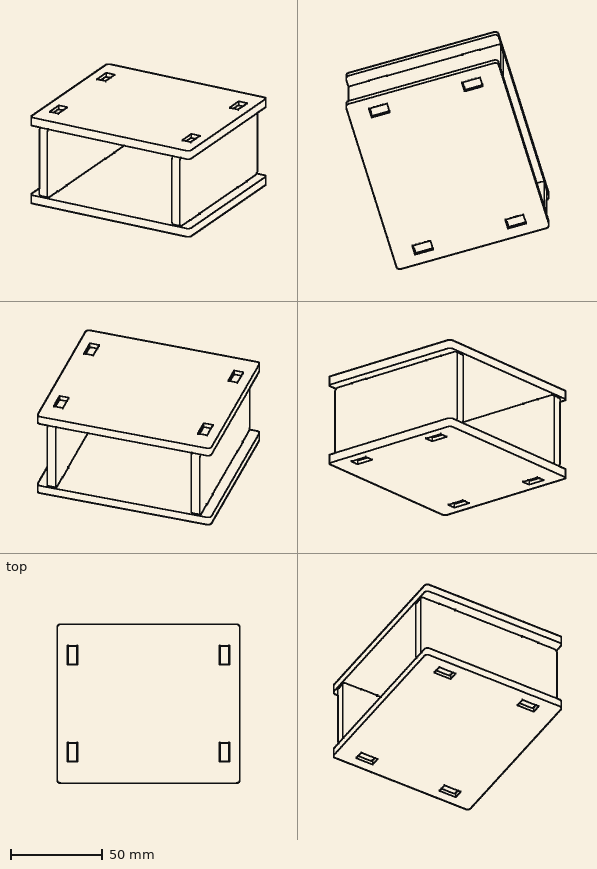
import cadquery as cq

length = 100.0
depth = 87.0
height = 51.0

panel_height = 41.1
sheet = (height - panel_height) / 2
corner_radius = 2.0

panel_spacing = 83.0
tab_spacing = 53.0
tab_width = 10.0
tab_height = 3.0
tab_corner_radius = 1.0

slot_gap = 0.2
slot_length = tab_width + 2 * slot_gap
slot_width = sheet + 2 * slot_gap


def make_plate(bottom_z):
    """Horizontal plate with four through slots, its underside at bottom_z."""
    plate = cq.Workplane("XY").box(length, depth, sheet, centered=(True, True, False))
    plate = plate.edges("|Z").fillet(corner_radius)
    slots = (
        cq.Workplane("XY")
        .rarray(panel_spacing, tab_spacing, 2, 2)
        .rect(slot_width, slot_length)
        .extrude(sheet)
    )
    return plate.cut(slots).translate((0, 0, bottom_z))


def make_tab_strips():
    """Two upright strips whose rounded ends are the tabs above and below a panel."""
    half_strip_height = panel_height / 2 + tab_height
    return (
        cq.Workplane("XY")
        .rarray(panel_spacing, tab_spacing, 1, 2)
        .rect(sheet, tab_width)
        .extrude(half_strip_height, both=True)
        .edges("|X")
        .fillet(tab_corner_radius)
    )


def make_panel(center_x):
    """Upright panel between the plates, with two tabs on its top and bottom edges."""
    panel = cq.Workplane("XY").box(sheet, depth, panel_height)
    panel = panel.edges("|X").fillet(corner_radius)
    return panel.union(make_tab_strips()).translate((center_x, 0, 0))


plates = [make_plate(bottom_z) for bottom_z in (-height / 2, panel_height / 2)]
panels = [make_panel(center_x) for center_x in (-panel_spacing / 2, panel_spacing / 2)]

result = cq.Compound.makeCompound([body.solids().val() for body in plates + panels])